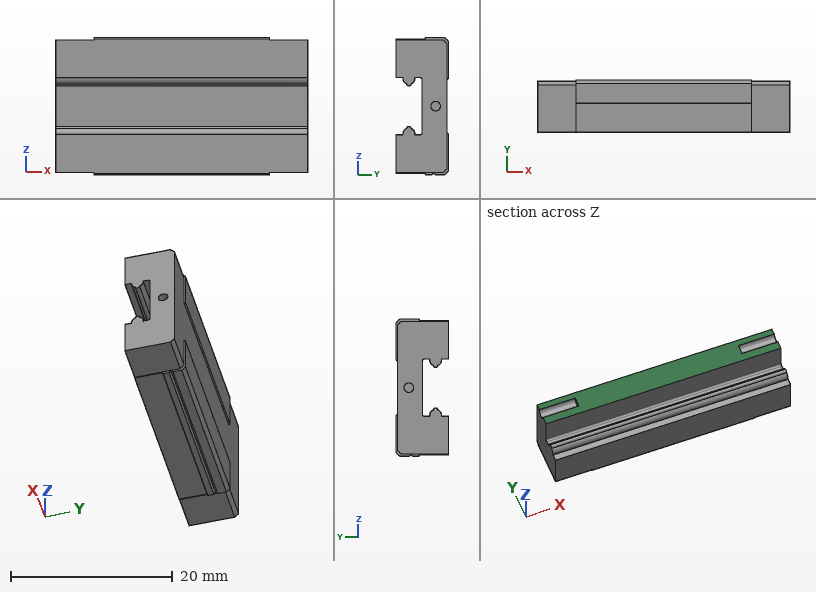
import cadquery as cq
import math

length = 31.2
depth = 6.5
height = 17.0

block_length = 21.7
cap_length = (length - block_length) / 2
block_chamfer = 0.47

side_step = 0.2
side_step_y = 3.55
side_step_slant = 0.1

back_relief = 0.15
pad_inner_z = 3.43

groove_y = 4.65
groove_half_width = 0.25
groove_depth = 0.22

cap_depth = depth - back_relief
cap_height = 16.4
cap_chamfer = 0.5
grease_hole_diameter = 1.2
grease_hole_y = 4.9

channel_half_height = 3.53
channel_floor_y = 3.2
channel_fillet = 0.25

ridge_y = 1.6
ball_radius = 0.75
ball_center_z = 3.43
keeper_half_width = 0.28
keeper_tip_z = 2.5


def along_x(points, start, span):
    """Extrude a closed (y, z) outline along X."""
    return cq.Workplane("YZ", origin=(start, 0, 0)).polyline(points).close().extrude(span)


def make_block():
    half = height / 2
    front_half = half - side_step
    upper_outline = [
        (0, front_half),
        (side_step_y, front_half),
        (side_step_y + side_step_slant, half),
        (depth - block_chamfer, half),
        (depth, half - block_chamfer),
        (depth, pad_inner_z),
        (depth - back_relief, pad_inner_z - back_relief),
    ]
    lower_outline = [(y, -z) for y, z in reversed(upper_outline)]
    block = along_x(upper_outline + lower_outline, cap_length, block_length)

    groove_outline = [
        (groove_y - groove_half_width, -half),
        (groove_y, -half + groove_depth),
        (groove_y + groove_half_width, -half),
    ]
    return block.cut(along_x(groove_outline, cap_length, block_length))


def make_cap(start):
    cap = cq.Workplane("XY").box(cap_length, cap_depth, cap_height, centered=(False, False, True))
    cap = cap.edges("|X and >Y").chamfer(cap_chamfer)
    hole = (
        cq.Workplane("YZ")
        .center(grease_hole_y, 0)
        .circle(grease_hole_diameter / 2)
        .extrude(cap_length)
    )
    return cap.cut(hole).translate((start, 0, 0))


def make_channel():
    channel = cq.Workplane("XY").box(
        length, channel_floor_y, 2 * channel_half_height, centered=(False, False, True)
    )
    return channel.edges("|X and >Y").fillet(channel_fillet)


def make_upper_ridge():
    """Ball row and keeper strip hanging from the upper channel wall."""
    keeper_root_z = ball_center_z - math.sqrt(ball_radius**2 - keeper_half_width**2)
    arc_angle = math.asin(keeper_half_width / ball_radius) / 2 + math.pi / 4
    arc_y = ball_radius * math.sin(arc_angle)
    arc_z = ball_center_z - ball_radius * math.cos(arc_angle)
    return (
        cq.Workplane("YZ", origin=(0, ridge_y, 0))
        .moveTo(-ball_radius, channel_half_height)
        .lineTo(-ball_radius, ball_center_z)
        .threePointArc((-arc_y, arc_z), (-keeper_half_width, keeper_root_z))
        .threePointArc((0, keeper_tip_z), (keeper_half_width, keeper_root_z))
        .threePointArc((arc_y, arc_z), (ball_radius, ball_center_z))
        .lineTo(ball_radius, channel_half_height)
        .close()
        .extrude(length)
    )


upper_ridge = make_upper_ridge()
lower_ridge = upper_ridge.mirror("XY")
channel = make_channel().cut(upper_ridge).cut(lower_ridge)

body = make_block().union(make_cap(0)).union(make_cap(length - cap_length))
result = body.cut(channel)